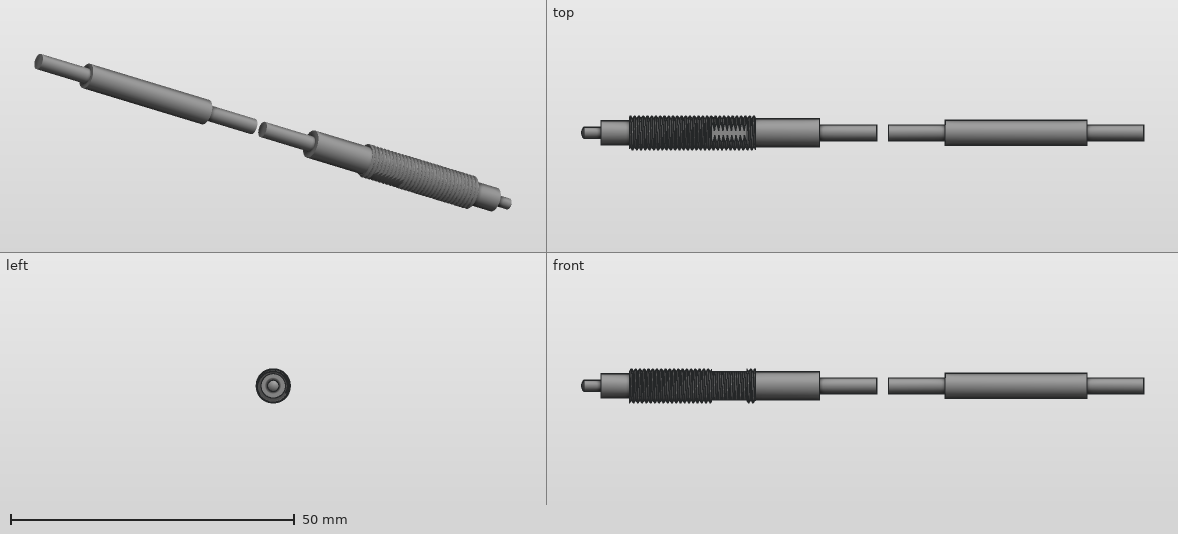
import cadquery as cq
import math

total_length = 98.99
tip_length = 3.4
nose_length = 5.0
thread_length = 22.2
barrel_length = 11.3
front_cable_length = 10.1
rear_cable_length = 10.0
sleeve_length = 25.0

tip_diameter = 2.0
nose_diameter = 4.3
barrel_diameter = 5.0
cable_diameter = 2.8
sleeve_diameter = 4.5

dome_height = 0.4

thread_diameter = 6.0
thread_pitch = 0.75
thread_depth = 0.6134 * thread_pitch
thread_land = thread_pitch / 8
thread_segments = 30
flank_steps = 6

flats_width = barrel_diameter
flats_length = 6.2
flats_offset = 14.5

nose_start = tip_length
thread_start = nose_start + nose_length
flats_start = thread_start + flats_offset
barrel_start = thread_start + thread_length
front_cable_start = barrel_start + barrel_length
sleeve_end = total_length - rear_cable_length
sleeve_start = sleeve_end - sleeve_length
rear_start = sleeve_start - rear_cable_length


def rod(start, length, diameter):
    return cq.Workplane("YZ", origin=(start, 0, 0)).circle(diameter / 2).extrude(length)


def domed_tip():
    """Half profile with an arc at its front end, revolved about the X axis."""
    radius = tip_diameter / 2
    dome_radius = (radius**2 + dome_height**2) / (2 * dome_height)
    half_angle = math.asin(radius / dome_radius) / 2
    arc_middle = (dome_radius * (1 - math.cos(half_angle)), dome_radius * math.sin(half_angle))
    return (
        cq.Workplane("XY")
        .moveTo(0, 0)
        .threePointArc(arc_middle, (dome_height, radius))
        .lineTo(tip_length, radius)
        .lineTo(tip_length, 0)
        .close()
        .revolve(360, (0, 0, 0), (1, 0, 0))
    )


def thread_section():
    """Cross-section with a root arc on top, a crest arc below and a spiral flank on each side."""
    crest_radius = thread_diameter / 2
    root_radius = crest_radius - thread_depth
    half_land = math.pi * thread_land / thread_pitch
    flank_sweep = math.pi - 2 * half_land

    left_flank = []
    for step in range(flank_steps + 1):
        fraction = step / flank_steps
        radius = root_radius + thread_depth * fraction
        angle = half_land + flank_sweep * fraction
        left_flank.append((-radius * math.sin(angle), radius * math.cos(angle)))
    right_flank = [(-y, z) for y, z in reversed(left_flank)]

    return (
        cq.Workplane("YZ", origin=(thread_start, 0, 0))
        .moveTo(*right_flank[-1])
        .threePointArc((0, root_radius), left_flank[0])
        .spline(left_flank[1:], includeCurrent=True)
        .threePointArc((0, -crest_radius), right_flank[0])
        .spline(right_flank[1:], includeCurrent=True)
        .close()
    )


def threaded_rod():
    """One short twisted segment, its helical faces repeated along the screw and closed by two end caps."""
    segment_length = thread_length / thread_segments
    segment_twist = 360 * segment_length / thread_pitch
    segment = thread_section().twistExtrude(segment_length, segment_twist).val()

    def screwed(face, count):
        turned = face.rotate(cq.Vector(0, 0, 0), cq.Vector(1, 0, 0), segment_twist * count)
        return turned.translate(cq.Vector(segment_length * count, 0, 0))

    helical_faces = [face for face in segment.Faces() if face.geomType() != "PLANE"]
    faces = [segment.faces("<X"), screwed(segment.faces(">X"), thread_segments - 1)]
    for count in range(thread_segments):
        faces += [screwed(face, count) for face in helical_faces]
    return cq.Workplane(cq.Solid.makeSolid(cq.Shell.makeShell(faces)))


def flats_cutter():
    """Block with a slot that leaves only the material between the upper and lower flats."""
    block_size = 2 * thread_diameter
    block = cq.Workplane("XY").box(flats_length, block_size, block_size)
    kept = cq.Workplane("XY").box(flats_length, block_size, flats_width)
    return block.cut(kept).translate((flats_start + flats_length / 2, 0, 0))


def make_sensor_head():
    """Tip, nose, flatted thread, barrel and the front stub of the cable."""
    head = threaded_rod().cut(flats_cutter(), clean=False)
    sections = [
        rod(nose_start, nose_length, nose_diameter),
        domed_tip(),
        rod(barrel_start, barrel_length, barrel_diameter),
        rod(front_cable_start, front_cable_length, cable_diameter),
    ]
    for section in sections:
        head = head.union(section, clean=False)
    return head


def make_cable_end():
    """Rear length of the cable with its sleeve."""
    cable = rod(rear_start, total_length - rear_start, cable_diameter)
    return cable.union(rod(sleeve_start, sleeve_length, sleeve_diameter))


sensor_head = make_sensor_head()
cable_end = make_cable_end()

result = cq.Compound.makeCompound([sensor_head.val(), cable_end.val()])